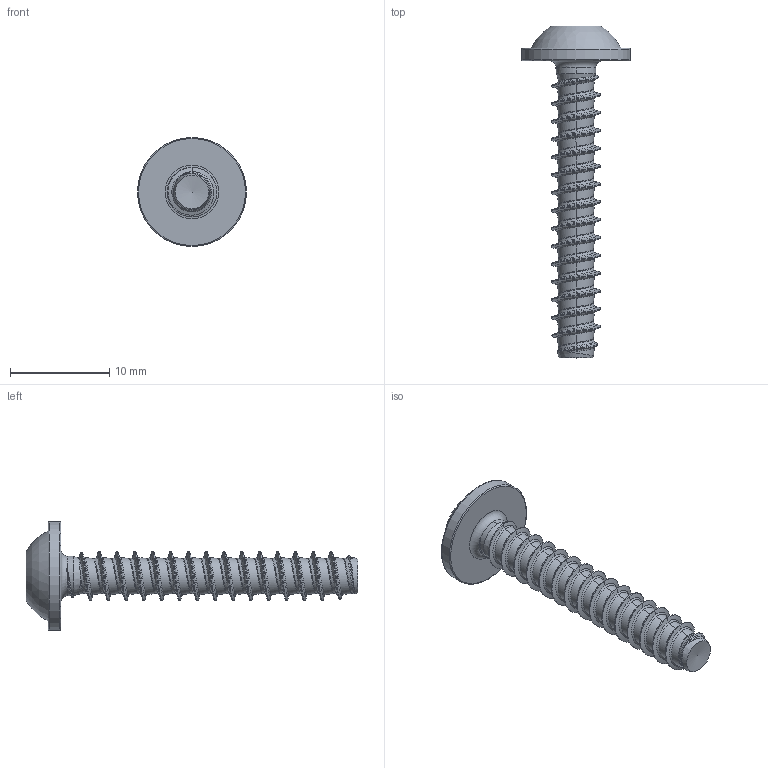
import cadquery as cq
import math


head_height = 3.5
flange_radius = 5.5
flange_thickness = 1.27
flange_edge_radius = 0.1
dome_radius = 5.0
dome_top_radius = 2.5

shank_length = 30.0
neck_radius = 2.0
neck_fillet_radius = 0.7
neck_end_y = -1.3
core_start_y = -2.0
core_radius = 1.755
tip_radius = 1.7
tip_taper_radius = 1.95
tip_taper_length = 0.75
tip_dimple_depth = 0.2

pitch = 1.8
first_crest_y = -1.64
major_radius = 2.5
ramp_low_radius = 1.75
ramp_high_radius = 1.88
relief_high_radius = 1.82
knee_radius = 2.05
buried_radius = 1.6
crest_half_width = 0.04
knee_half_width = 0.15
tooth_half_width = 0.29
relief_width = 0.58
turn_gap = 0.02
buried_inset = 0.18

thread_start = -0.75
full_height_start = 1.0
full_height_end = 14.0
tooth_end = 15.45
thread_turns = 17
points_per_turn = 20


def screw_blank():
    """Turned head, neck and plain core, revolved from a half profile about Y."""
    dome_centre_y = head_height - math.sqrt(dome_radius**2 - dome_top_radius**2)
    dome_base_radius = math.sqrt(dome_radius**2 - (flange_thickness - dome_centre_y)**2)
    mid_y = (head_height + flange_thickness) / 2
    dome_mid_radius = math.sqrt(dome_radius**2 - (mid_y - dome_centre_y)**2)
    fillet_outer_radius = neck_radius + neck_fillet_radius
    fillet_inset = neck_fillet_radius * (1 - math.sqrt(0.5))
    edge_inset = flange_edge_radius * (1 - math.sqrt(0.5))
    flange_flat_radius = flange_radius - flange_edge_radius

    profile = (
        cq.Workplane("ZY")
        .moveTo(0, head_height)
        .lineTo(dome_top_radius, head_height)
        .threePointArc((dome_mid_radius, mid_y), (dome_base_radius, flange_thickness))
        .lineTo(flange_flat_radius, flange_thickness)
        .threePointArc(
            (flange_radius - edge_inset, flange_thickness - edge_inset),
            (flange_radius, flange_thickness - flange_edge_radius),
        )
        .lineTo(flange_radius, flange_edge_radius)
        .threePointArc((flange_radius - edge_inset, edge_inset), (flange_flat_radius, 0))
        .lineTo(fillet_outer_radius, 0)
        .threePointArc(
            (neck_radius + fillet_inset, -fillet_inset),
            (neck_radius, -neck_fillet_radius),
        )
        .lineTo(neck_radius, neck_end_y)
        .lineTo(core_radius, core_start_y)
        .lineTo(core_radius, -shank_length)
        .lineTo(0, -shank_length)
        .close()
    )
    return profile.revolve(360, (0, 0, 0), (0, 1, 0))


def tooth_fraction(turn):
    """Share of the full tooth height: eases in at the neck and runs out at the tip."""
    if turn < full_height_start:
        remaining = (full_height_start - turn) / (full_height_start - thread_start)
        return 1 - remaining**2
    if turn > full_height_end:
        faded = (turn - full_height_end) / (tooth_end - full_height_end)
        return max(0.0, 1 - faded**2)
    return 1.0


def helix_edge(first_turn, offset, foot_radius, full_radius):
    """One turn of helix at an axial offset toward the tip, rising from foot to full radius."""
    points = []
    for step in range(points_per_turn + 1):
        turn = first_turn + step / points_per_turn
        angle = 2 * math.pi * turn
        radius = foot_radius + (full_radius - foot_radius) * tooth_fraction(turn)
        y = first_crest_y - pitch * turn - offset
        points.append(cq.Vector(radius * math.cos(angle), y, radius * math.sin(angle)))
    return cq.Edge.makeSpline(points)


def end_cap(corners):
    """Flat face across the thread section."""
    return cq.Face.makeFromWires(cq.Wire.makePolygon(corners, close=True))


def thread():
    """One solid helical ridge, skinned turn by turn between helices through its section corners."""
    ramp_end = pitch - relief_width - turn_gap
    section = [
        (-relief_width, ramp_low_radius, ramp_low_radius),
        (-tooth_half_width, relief_high_radius, relief_high_radius),
        (-knee_half_width, relief_high_radius, knee_radius),
        (-crest_half_width, ramp_high_radius, major_radius),
        (crest_half_width, ramp_high_radius, major_radius),
        (knee_half_width, ramp_high_radius, knee_radius),
        (tooth_half_width, ramp_high_radius, ramp_high_radius),
        (ramp_end, ramp_low_radius, ramp_low_radius),
        (ramp_end - buried_inset, buried_radius, buried_radius),
        (buried_inset - relief_width, buried_radius, buried_radius),
    ]
    turns = [
        [helix_edge(thread_start + index, *corner) for corner in section]
        for index in range(thread_turns)
    ]
    faces = [end_cap([edge.startPoint() for edge in turns[0]])]
    for edges in turns:
        neighbours = edges[1:] + edges[:1]
        faces += [cq.Face.makeRuledSurface(a, b) for a, b in zip(edges, neighbours)]
    faces.append(end_cap([edge.endPoint() for edge in turns[-1]]))
    ridge = cq.Solid.makeSolid(cq.Shell.makeShell(faces))
    return cq.Workplane(ridge.fix())


def tip_trim():
    """Turned cutter that ends the thread, tapers the tip and leaves a shallow cone in its face."""
    tip_y = -shank_length
    profile = (
        cq.Workplane("ZY")
        .moveTo(0, tip_y + tip_dimple_depth)
        .lineTo(tip_radius, tip_y)
        .lineTo(tip_taper_radius, tip_y + tip_taper_length)
        .lineTo(flange_radius, tip_y + tip_taper_length)
        .lineTo(flange_radius, tip_y - 2 * pitch)
        .lineTo(0, tip_y - 2 * pitch)
        .close()
    )
    return profile.revolve(360, (0, 0, 0), (0, 1, 0))


result = screw_blank().union(thread()).cut(tip_trim())